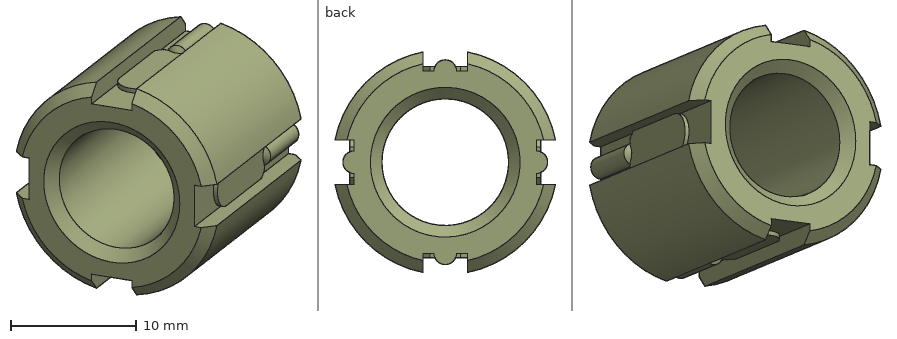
import cadquery as cq
import math

length = 18.0
outer_radius = 9.0
bore_diameter = 10.1
edge_chamfer = 0.94

slot_count = 4
slot_width = 3.53
slot_floor = 7.29
pad_top = 7.65
pad_length = 9.0
pad_corner_cut = 0.54
pin_radius = 0.9
pin_axis = slot_floor
pin_length = 5.4
tip_angle = 118.0

back = length / 2
pin_end = back - pin_length
tip_length = pin_radius / math.tan(math.radians(tip_angle / 2))


def make_sleeve():
    """Tube chamfered at the outer and bore edges of both ends."""
    tube = (
        cq.Workplane("XZ", origin=(0, back, 0))
        .circle(outer_radius)
        .circle(bore_diameter / 2)
        .extrude(length)
    )
    return tube.faces("<Y or >Y").edges().chamfer(edge_chamfer)


def make_slot():
    """Cutter for the top slot, open at both ends."""
    depth = outer_radius - slot_floor
    return (
        cq.Workplane("XY", origin=(0, 0, slot_floor))
        .rect(slot_width, length)
        .extrude(depth)
    )


def make_pad():
    """Raised pad on the slot floor: full round in front, cut corners behind."""
    half_width = slot_width / 2
    arc_start = pin_end - pad_length + half_width
    corner_x = half_width - pad_corner_cut
    corner_y = pin_end - pad_corner_cut
    return (
        cq.Workplane("XY", origin=(0, 0, slot_floor))
        .moveTo(-half_width, arc_start)
        .threePointArc((0, pin_end - pad_length), (half_width, arc_start))
        .lineTo(half_width, corner_y)
        .lineTo(corner_x, pin_end)
        .lineTo(-corner_x, pin_end)
        .lineTo(-half_width, corner_y)
        .close()
        .extrude(pad_top - slot_floor)
    )


def make_pin():
    """Half-sunk pin running in from the back end to a conical tip."""
    return (
        cq.Workplane("XY", origin=(0, 0, pin_axis))
        .moveTo(0, back)
        .lineTo(pin_radius, back)
        .lineTo(pin_radius, pin_end)
        .lineTo(0, pin_end - tip_length)
        .close()
        .revolve(360, (0, 0, 0), (0, 1, 0))
    )


slot = make_slot()
pad_and_pin = make_pad().union(make_pin())

result = make_sleeve()
for index in range(slot_count):
    angle = index * 360 / slot_count
    result = result.cut(slot.rotate((0, 0, 0), (0, 1, 0), angle))
    result = result.union(pad_and_pin.rotate((0, 0, 0), (0, 1, 0), angle))